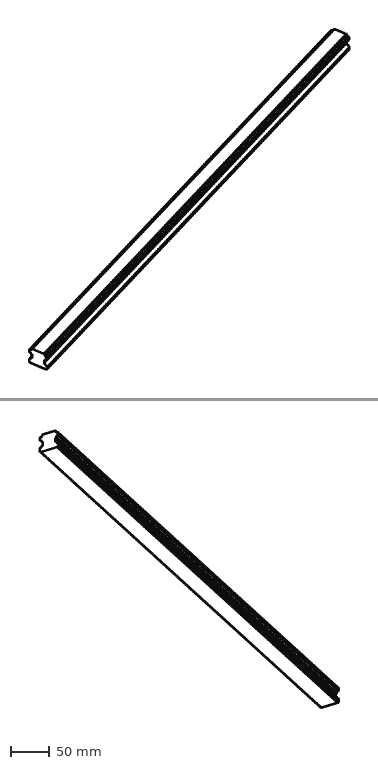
import cadquery as cq
import math

width = 28.0
height = 26.0
length = 730.0
half_width = width / 2

foot_chamfer = 1.7
foot_side_top_z = 5.2

neck_half_width = 9.3
neck_bottom_z = 10.2
neck_top_z = 14.0

head_ledge_half_width = 10.0
head_ledge_z = 14.2
head_side_bottom_z = 19.3
head_side_top_z = 21.5
head_top_half_width = 9.0

raceway_radius = 2.5
raceway_depth = 0.67


def grooved_bevel(outline, start, end):
    """Continue the outline from start to end with a raceway arc cut into the middle."""
    run = math.dist(start, end)
    along = ((end[0] - start[0]) / run, (end[1] - start[1]) / run)
    inward = (-along[1], along[0])
    half_chord = math.sqrt(raceway_radius**2 - (raceway_radius - raceway_depth) ** 2)

    def bevel_point(distance, depth):
        return (
            start[0] + along[0] * distance + inward[0] * depth,
            start[1] + along[1] * distance + inward[1] * depth,
        )

    middle = run / 2
    return (
        outline.lineTo(*bevel_point(middle - half_chord, 0))
        .threePointArc(bevel_point(middle, raceway_depth), bevel_point(middle + half_chord, 0))
        .lineTo(*end)
    )


def half_rail():
    """The +X half of the rail, its section extruded along Y about the XZ plane."""
    head_ledge = (head_ledge_half_width, head_ledge_z)
    head_side_bottom = (half_width, head_side_bottom_z)
    head_side_top = (half_width, head_side_top_z)
    head_top = (head_top_half_width, height)

    outline = (
        cq.Workplane("XZ")
        .lineTo(half_width - foot_chamfer, 0)
        .lineTo(half_width, foot_chamfer)
        .lineTo(half_width, foot_side_top_z)
        .lineTo(neck_half_width, neck_bottom_z)
        .lineTo(neck_half_width, neck_top_z)
        .lineTo(*head_ledge)
    )
    outline = grooved_bevel(outline, head_ledge, head_side_bottom)
    outline = outline.lineTo(*head_side_top)
    outline = grooved_bevel(outline, head_side_top, head_top)
    return outline.lineTo(0, height).close().extrude(length / 2, both=True)


right_half = half_rail()
result = right_half.union(right_half.mirror("YZ")).clean()